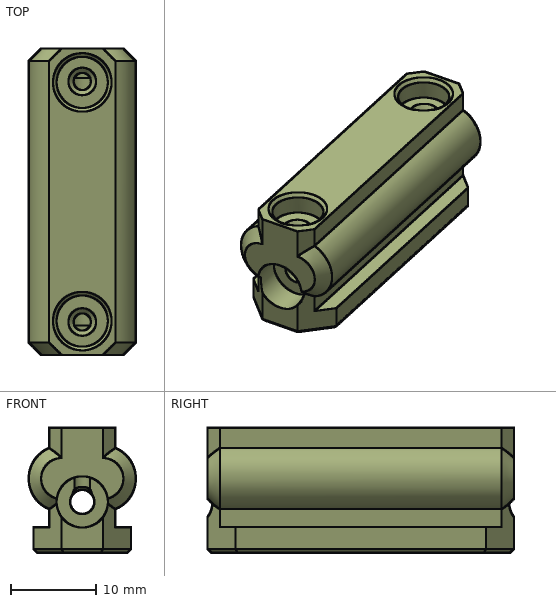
import cadquery as cq

length = 36.0
height = 14.7
overall_width = 12.6

web_width = 7.78
base_width = 11.5
base_height = 3.02
base_bevel = 0.45
end_bevel = 1.48

rib_radius = 3.9
rib_center_x = overall_width / 2 - rib_radius
rib_center_z = 8.7

bore_z = 5.98
through_diameter = 2.8
end_bore_diameter = 6.0
end_bore_depth = 3.5

pocket_diameter = 6.0
pocket_depth = 2.6
pocket_bevel = 0.45
pocket_inset = 4.0
screw_diameter = 2.0
screw_inset = 3.9
screw_bevel = 0.6
breakout_bevel = 0.35

end_y = length / 2
end_face_half_width = web_width / 2 - end_bevel


def centered_block(width, block_height):
    """Full-length block standing on the bottom plane, with 45 degree corner cuts at both ends."""
    corner_cut = width / 2 - end_face_half_width
    return (
        cq.Workplane("XY")
        .rect(width, length)
        .extrude(block_height)
        .edges("|Z")
        .chamfer(corner_cut)
    )


def lengthwise_cylinder(diameter, x, z, start_y, cylinder_length):
    """Cylinder along +Y from start_y."""
    solid = cq.Solid.makeCylinder(
        diameter / 2, cylinder_length, cq.Vector(x, start_y, z), cq.Vector(0, 1, 0)
    )
    return cq.Workplane(solid)


def side_rib(side):
    """Round rib with bevelled ends on the given side (-1 or 1)."""
    rib = lengthwise_cylinder(2 * rib_radius, side * rib_center_x, rib_center_z, -end_y, length)
    return rib.faces("<Y or >Y").chamfer(end_bevel)


def drilled_hole(y, top_z, diameter, depth, bevel):
    """Vertical hole sunk from top_z with a 45 degree bevel around its mouth."""
    radius = diameter / 2
    profile = (
        cq.Workplane("XZ")
        .moveTo(0, top_z)
        .lineTo(radius + bevel, top_z)
        .lineTo(radius, top_z - bevel)
        .lineTo(radius, top_z - depth)
        .lineTo(0, top_z - depth)
        .close()
    )
    return profile.revolve(360, (0, 0, 0), (0, 1, 0)).translate((0, y, 0))


def breakout_edges(side):
    """Selects the edges where a screw hole meets the through bore, inward of the end bore floor."""
    box_size = 2 * screw_diameter
    floor_y = side * (end_y - end_bore_depth)
    inner_y = floor_y - side * box_size
    return cq.selectors.BoxSelector(
        (-box_size / 2, floor_y, bore_z),
        (box_size / 2, inner_y, bore_z + through_diameter / 2),
    )


base = centered_block(base_width, base_height).faces("<Z").chamfer(base_bevel)
upper_web = centered_block(web_width, height - base_bevel).translate((0, 0, base_bevel))
body = base.union(upper_web)
for side in (-1, 1):
    body = body.union(side_rib(side))

body = body.cut(lengthwise_cylinder(through_diameter, 0, bore_z, -end_y, length))
for start_y in (-end_y, end_y - end_bore_depth):
    body = body.cut(lengthwise_cylinder(end_bore_diameter, 0, bore_z, start_y, end_bore_depth))

pocket_floor_z = height - pocket_depth
for side in (-1, 1):
    pocket_y = side * (end_y - pocket_inset)
    screw_y = side * (end_y - screw_inset)
    body = body.cut(drilled_hole(pocket_y, height, pocket_diameter, pocket_depth, pocket_bevel))
    body = body.cut(
        drilled_hole(screw_y, pocket_floor_z, screw_diameter, pocket_floor_z - bore_z, screw_bevel)
    )

    body = body.edges(breakout_edges(side)).chamfer(breakout_bevel)

result = body